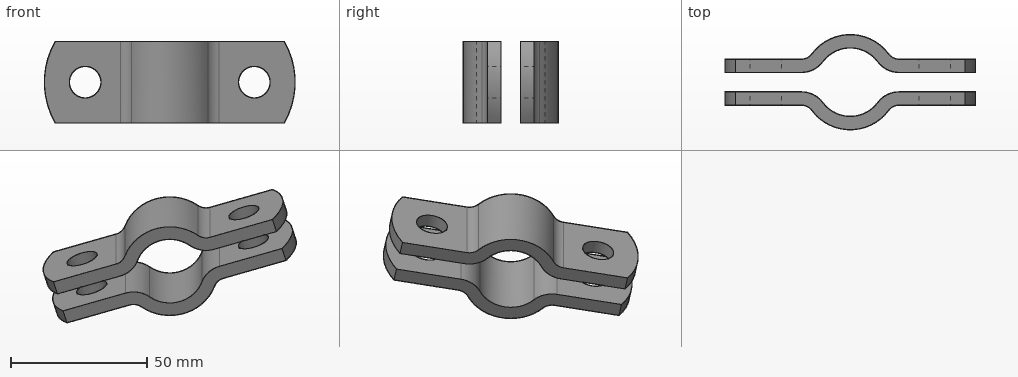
import cadquery as cq
import math

length = 92.0
width = 30.0
thickness = 5.0
gap = 7.0
bore_radius = 12.5
bend_radius = 5.0
end_radius = 30.0
hole_diameter = 11.5
hole_spacing = 62.0

saddle_radius = bore_radius + thickness
flange_inner = gap / 2
flange_outer = flange_inner + thickness
outer_bend_radius = bend_radius + thickness

bend_y = flange_outer + bend_radius
bend_x = math.sqrt((saddle_radius + bend_radius) ** 2 - bend_y ** 2)
bend_angle = math.atan2(bend_y, bend_x)


def polar(radius, angle, center=(0.0, 0.0)):
    """Point at a given radius and angle around a center."""
    return (center[0] + radius * math.cos(angle), center[1] + radius * math.sin(angle))


def mirrored(point):
    """The same point on the -X side."""
    return (-point[0], point[1])


def bent_strip():
    """Constant-thickness strip: flange, bend, saddle, bend, flange."""
    bend_center = (bend_x, bend_y)
    middle = (bend_angle + math.pi + 1.5 * math.pi) / 2
    outer_joint = polar(saddle_radius, bend_angle)
    inner_joint = polar(bore_radius, bend_angle)
    outer_middle = polar(bend_radius, middle, bend_center)
    inner_middle = polar(outer_bend_radius, middle, bend_center)
    return (
        cq.Workplane("XY")
        .workplane(offset=-width / 2)
        .moveTo(-length / 2, flange_outer)
        .lineTo(-bend_x, flange_outer)
        .threePointArc(mirrored(outer_middle), mirrored(outer_joint))
        .threePointArc((0, saddle_radius), outer_joint)
        .threePointArc(outer_middle, (bend_x, flange_outer))
        .lineTo(length / 2, flange_outer)
        .lineTo(length / 2, flange_inner)
        .lineTo(bend_x, flange_inner)
        .threePointArc(inner_middle, inner_joint)
        .threePointArc((0, bore_radius), mirrored(inner_joint))
        .threePointArc(mirrored(inner_middle), (-bend_x, flange_inner))
        .lineTo(-length / 2, flange_inner)
        .close()
        .extrude(width)
    )


def rounded_end_blank():
    """Block along Y with the rounded-end outline of the flanges."""
    sagitta = end_radius - math.sqrt(end_radius ** 2 - (width / 2) ** 2)
    corner_x = length / 2 - sagitta
    return (
        cq.Workplane("XZ")
        .moveTo(-corner_x, -width / 2)
        .lineTo(corner_x, -width / 2)
        .threePointArc((length / 2, 0), (corner_x, width / 2))
        .lineTo(-corner_x, width / 2)
        .threePointArc((-length / 2, 0), (-corner_x, -width / 2))
        .close()
        .extrude(saddle_radius, both=True)
    )


def bolt_holes():
    """Two cylinders along Y, one for each flange."""
    return (
        cq.Workplane("XZ")
        .pushPoints([(-hole_spacing / 2, 0), (hole_spacing / 2, 0)])
        .circle(hole_diameter / 2)
        .extrude(saddle_radius, both=True)
    )


def clamp_half(turn):
    """One clamp half, turned about the bore axis by the given degrees."""
    half = bent_strip().intersect(rounded_end_blank()).cut(bolt_holes())
    return half.rotate((0, 0, 0), (0, 0, 1), turn)


clamp_halves = []
for turn in (0, 180):
    clamp_halves.append(clamp_half(turn).solids().val())

result = cq.Compound.makeCompound(clamp_halves)